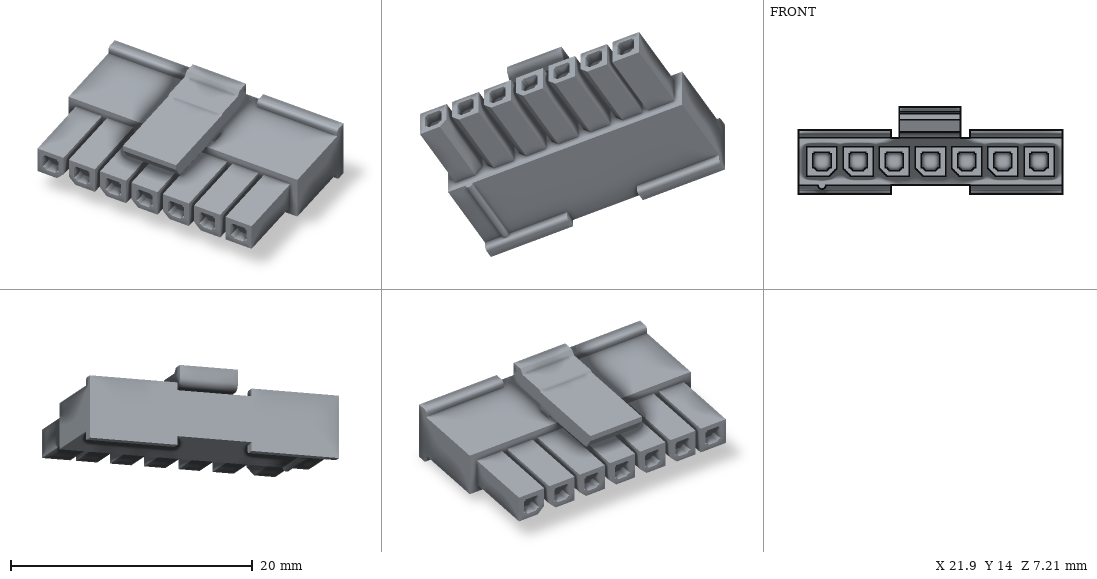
import cadquery as cq


housing_width = 21.85
housing_depth = 7.65
housing_height = 3.91

flange_thickness = 1.05
flange_rise_top = 0.65
flange_drop_bottom = 0.75
flange_gap = 6.51
flange_edge_radius = 0.3

post_count = 7
post_pitch = 3.0
post_width = 2.5
post_height = 2.4
post_tip = 14.0
post_chamfer = 0.63

socket_width = 1.5
socket_height = 1.5
socket_depth = 1.0
socket_step = 0.13
socket_slope = 0.22

rib_radius = 0.33

latch_width = 5.1
latch_offset = -0.05
latch_rear = 1.55
latch_front = 13.1
latch_top = housing_height + 2.55
hook_front = 2.55
hook_ramp_front = 2.9
thick_top = housing_height + 2.15
thick_front = 5.42
step_front = 5.57
lever_top = housing_height + 1.99
nose_height = housing_height + 1.49
nose_underside_front = 12.48
nose_underside = housing_height + 0.52
rear_underside = housing_height + 0.75
rear_corner_radius = 0.65
neck_rear = 5.6
neck_front = 6.8
neck_slot_height = 0.45
neck_slot_bulge = 0.15

post_middle = housing_height / 2
first_post_x = -post_pitch * (post_count - 1) / 2


def box(x_range, depth_range, z_range):
    """Box between limits, with depth measured forward (-Y) from the rear face."""
    size = (x_range[1] - x_range[0], depth_range[1] - depth_range[0], z_range[1] - z_range[0])
    corner = (x_range[0], -depth_range[1], z_range[0])
    return cq.Workplane("XY").box(*size, centered=False).translate(corner)


def make_flange(x_range):
    """Flange bar across one end of the rear, with its front outer edges rounded."""
    bar = box(
        x_range,
        (0, flange_thickness),
        (-flange_drop_bottom, housing_height + flange_rise_top),
    )
    return bar.faces("<Y").edges("|X").fillet(flange_edge_radius)


def make_post(index):
    """Post with a keying chamfer: right on the first, none on the last, left on the others."""
    x = first_post_x + index * post_pitch
    post = box(
        (x - post_width / 2, x + post_width / 2),
        (housing_depth, post_tip),
        (post_middle - post_height / 2, post_middle + post_height / 2),
    )
    if index == post_count - 1:
        return post
    keyed_edge = ">X and <Z" if index == 0 else "<X and <Z"
    return post.edges("|Y").edges(keyed_edge).chamfer(post_chamfer)


def make_socket(index):
    """Blind cavity sunk into a post tip: stepped top corners, ledged and sloped bottom ones."""
    half_socket = socket_width / 2
    half_core = half_socket - socket_step
    half_floor = half_core - socket_slope
    top = socket_height / 2
    side_top = top - socket_step
    side_bottom = socket_slope - top
    right_half = [
        (0, top),
        (half_core, top),
        (half_core, side_top),
        (half_socket, side_top),
        (half_socket, side_bottom),
        (half_core, side_bottom),
        (half_floor, -top),
        (0, -top),
    ]
    x = first_post_x + index * post_pitch
    return (
        cq.Workplane("XZ", origin=(x, -post_tip, post_middle))
        .polyline(right_half)
        .mirrorY()
        .extrude(-socket_depth)
    )


def make_rib():
    """Half-round rib along the underside, in line with the first post."""
    return (
        cq.Workplane("XZ")
        .center(first_post_x, 0)
        .circle(rib_radius)
        .extrude(housing_depth)
    )


def make_latch():
    """Lever with a rear hook, carried on a neck that stands on the housing top."""
    slot_top = housing_height + neck_slot_height
    slot_end = neck_front + neck_slot_bulge
    left_side = cq.Plane(
        origin=(latch_offset - latch_width / 2, 0, 0),
        xDir=(0, -1, 0),
        normal=(-1, 0, 0),
    )
    return (
        cq.Workplane(left_side)
        .moveTo(latch_rear, latch_top)
        .lineTo(hook_front, latch_top)
        .lineTo(hook_ramp_front, thick_top)
        .lineTo(thick_front, thick_top)
        .lineTo(step_front, lever_top)
        .lineTo(latch_front, lever_top)
        .lineTo(latch_front, nose_height)
        .lineTo(nose_underside_front, nose_underside)
        .lineTo(slot_end, slot_top)
        .threePointArc((neck_front, housing_height + neck_slot_height / 2), (slot_end, housing_height))
        .lineTo(neck_rear, housing_height)
        .lineTo(neck_rear, rear_underside)
        .lineTo(latch_rear + rear_corner_radius, rear_underside)
        .radiusArc((latch_rear, rear_underside + rear_corner_radius), rear_corner_radius)
        .close()
        .extrude(-latch_width)
    )


half_width = housing_width / 2
result = box((-half_width, half_width), (0, housing_depth), (0, housing_height))
result = result.union(make_flange((-half_width, -flange_gap / 2)))
result = result.union(make_flange((flange_gap / 2, half_width)))
result = result.union(make_rib())
for post_index in range(post_count):
    result = result.union(make_post(post_index))
    result = result.cut(make_socket(post_index))
result = result.union(make_latch())